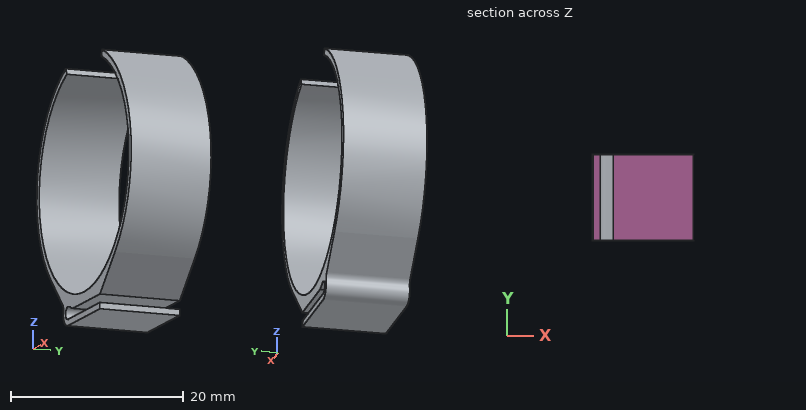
import cadquery as cq
import math

width = 10.0
ring_inner_radius = 14.0
ring_thickness = 0.8
ring_outer_radius = ring_inner_radius + ring_thickness
opening_angle = 45.0

strip_thickness = 0.75
strip_bottom_z = -17.0
slot_height = 1.0
foot_half_length = 5.0

hook_inner_radius = 0.75
hook_outer_radius = hook_inner_radius + strip_thickness
neck_fillet_radius = 1.0
left_flank_angle = 225.0
slot_ramp_run = 1.5

strip_top_z = strip_bottom_z + strip_thickness
foot_z = strip_top_z + slot_height
hook_center = (-foot_half_length, strip_bottom_z + hook_outer_radius)
foot_end = (foot_half_length, foot_z)
ramp_end = (hook_center[0] + slot_ramp_run, foot_z)


def polar(center, radius, angle):
    """Point on a circle, with the angle in degrees from +X towards +Z."""
    turn = math.radians(angle)
    return (center[0] + radius * math.cos(turn), center[1] + radius * math.sin(turn))


def tangent_angle(center, radius, point):
    """Angle at which a line from an outside point touches the circle, counterclockwise of the point."""
    dx = point[0] - center[0]
    dz = point[1] - center[1]
    spread = math.acos(radius / math.hypot(dx, dz))
    return math.degrees(math.atan2(dz, dx) + spread)


def arc(path, center, radius, start, end):
    """Continue the path along a circle between two angles."""
    return path.threePointArc(polar(center, radius, (start + end) / 2), polar(center, radius, end))


def neck_angle():
    """Angle on the hook at which the neck fillet touches both the hook and the left flank."""
    flank = math.radians(left_flank_angle)
    hook_offset = hook_center[0] * math.cos(flank) + hook_center[1] * math.sin(flank)
    fillet_offset = ring_outer_radius + neck_fillet_radius
    center_distance = hook_outer_radius + neck_fillet_radius
    swing = math.acos((fillet_offset - hook_offset) / center_distance)
    return left_flank_angle - math.degrees(swing)


def make_profile():
    """Closed outline, counterclockwise from the outer corner of the left-hand ring end."""
    ring_center = (0.0, 0.0)
    top = 90.0
    right_end = top - opening_angle / 2
    left_end = top + opening_angle / 2
    right_flank = tangent_angle(ring_center, ring_outer_radius, foot_end)
    ramp_start = tangent_angle(hook_center, hook_inner_radius, ramp_end)
    hook_top = neck_angle()
    hook_bottom = 270.0
    half_turn = 180.0
    full_turn = 2 * half_turn
    fillet_center = polar(hook_center, hook_outer_radius + neck_fillet_radius, hook_top)

    path = cq.Workplane("XZ", origin=(0, width / 2, 0))
    path = path.moveTo(*polar(ring_center, ring_outer_radius, left_end))

    path = arc(path, ring_center, ring_outer_radius, left_end, left_flank_angle)
    fillet_start = left_flank_angle - half_turn
    path = path.lineTo(*polar(fillet_center, neck_fillet_radius, fillet_start))
    path = arc(path, fillet_center, neck_fillet_radius, fillet_start, hook_top - half_turn)
    path = arc(path, hook_center, hook_outer_radius, hook_top, hook_bottom)

    path = path.lineTo(foot_half_length, strip_bottom_z)
    path = path.lineTo(foot_half_length, strip_top_z)
    path = path.lineTo(hook_center[0], strip_top_z)
    path = arc(path, hook_center, hook_inner_radius, hook_bottom, ramp_start)
    path = path.lineTo(*ramp_end)
    path = path.lineTo(*foot_end)

    path = path.lineTo(*polar(ring_center, ring_outer_radius, right_flank))
    path = arc(path, ring_center, ring_outer_radius, right_flank, right_end)

    path = path.lineTo(*polar(ring_center, ring_inner_radius, right_end))
    path = arc(path, ring_center, ring_inner_radius, right_end + full_turn, hook_bottom)
    path = arc(path, ring_center, ring_inner_radius, hook_bottom, left_end)
    return path.close()


result = make_profile().extrude(width, clean=False)